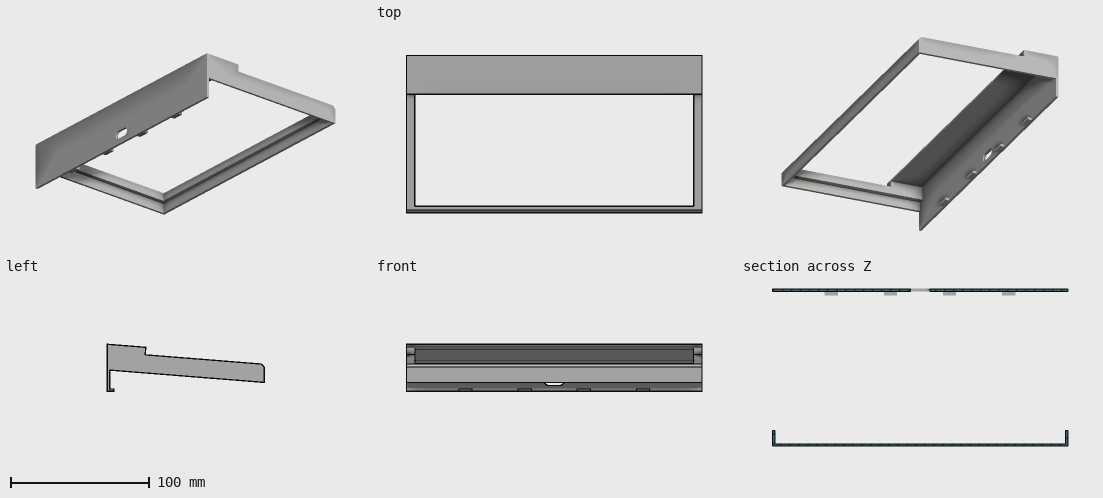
import cadquery as cq
import math

WIDTH = 213.03
DEPTH = 113.35
HEIGHT = 33.95
SLOPE_ANGLE = 4.55
SLOPE = math.tan(math.radians(SLOPE_ANGLE))

HOOD_DEPTH = 28.0
STEP_HEIGHT = 5.4
FRAME_HEIGHT = 18.65
FRONT_CHAMFER = 2.2

SIDE_BAR = 6.25
FRONT_BAR = 4.3
LID_THICKNESS = 1.2
CAVITY_DEPTH = 11.5

WALL = 2.0
TAB_COUNT = 4
TAB_PITCH = WIDTH / (TAB_COUNT + 1)
TAB_WIDTH = 9.5
TAB_HEIGHT = 1.8
TAB_REACH = 3.0
SLOT_LENGTH = 14.0
SLOT_DIAMETER = 6.0
SLOT_CENTRE_Z = 7.2


def sloped_z(y, rear_z):
    """Height at y (negative towards the front) of a sloped plane that meets the rear face at rear_z."""
    return rear_z + y * SLOPE


def extrude_across(points, width):
    """Extrude a (Y, Z) outline symmetrically about X = 0."""
    return cq.Workplane("YZ").polyline(points).close().extrude(width / 2, both=True)


def make_body():
    """Solid wedge with the raised hood, the rear flange and the bevelled front."""
    underside_rear = HEIGHT - FRAME_HEIGHT
    step_top = (-HOOD_DEPTH, sloped_z(-HOOD_DEPTH, HEIGHT))
    step_foot = (step_top[0] + STEP_HEIGHT * SLOPE, step_top[1] - STEP_HEIGHT)
    front_top_z = step_foot[1] - (DEPTH + step_foot[0]) * SLOPE
    outline = [
        (0, 0),
        (0, HEIGHT),
        step_top,
        step_foot,
        (-DEPTH + FRONT_CHAMFER, front_top_z + FRONT_CHAMFER * SLOPE),
        (-DEPTH, front_top_z - FRONT_CHAMFER),
        (-DEPTH, sloped_z(-DEPTH, underside_rear)),
        (-WALL, sloped_z(-WALL, underside_rear)),
        (-WALL, 0),
    ]
    return extrude_across(outline, WIDTH)


def make_window():
    """Opening between the bars, square to the slope; it runs back under the lid to the rear wall."""
    lid_underside = HEIGHT - LID_THICKNESS
    cavity_ceiling = HEIGHT - CAVITY_DEPTH
    lean = (CAVITY_DEPTH - LID_THICKNESS) * SLOPE
    rear_foot_y = -WALL
    rear_top_y = rear_foot_y - lean
    front_top_y = -DEPTH + FRONT_BAR
    front_foot_y = front_top_y + lean
    outline = [
        (rear_foot_y, sloped_z(rear_foot_y, cavity_ceiling)),
        (rear_top_y, sloped_z(rear_top_y, lid_underside)),
        (front_top_y, sloped_z(front_top_y, lid_underside)),
        (front_foot_y, sloped_z(front_foot_y, cavity_ceiling)),
    ]
    return extrude_across(outline, WIDTH - 2 * SIDE_BAR)


def make_cavity():
    """Hollow under the frame, open downwards, that leaves only the outer walls."""
    cavity_ceiling = HEIGHT - CAVITY_DEPTH
    rear_y = -WALL
    front_y = -DEPTH + WALL
    outline = [
        (rear_y, 0),
        (rear_y, sloped_z(rear_y, cavity_ceiling)),
        (front_y, sloped_z(front_y, cavity_ceiling)),
        (front_y, 0),
    ]
    return extrude_across(outline, WIDTH - 2 * WALL)


def make_tab(x):
    """Latch tab at the foot of the flange."""
    outline = [
        (-WALL, 0),
        (-WALL, TAB_HEIGHT),
        (-WALL - TAB_REACH, TAB_HEIGHT),
        (-WALL - TAB_REACH, 0),
    ]
    return extrude_across(outline, TAB_WIDTH).translate((x, 0, 0))


def make_slot():
    """Round-ended cable slot through the flange."""
    return (
        cq.Workplane("XZ")
        .center(0, SLOT_CENTRE_Z)
        .slot2D(SLOT_LENGTH, SLOT_DIAMETER)
        .extrude(WALL)
    )


result = make_body().cut(make_window()).cut(make_cavity()).cut(make_slot())
for index in range(TAB_COUNT):
    result = result.union(make_tab((index - (TAB_COUNT - 1) / 2) * TAB_PITCH))